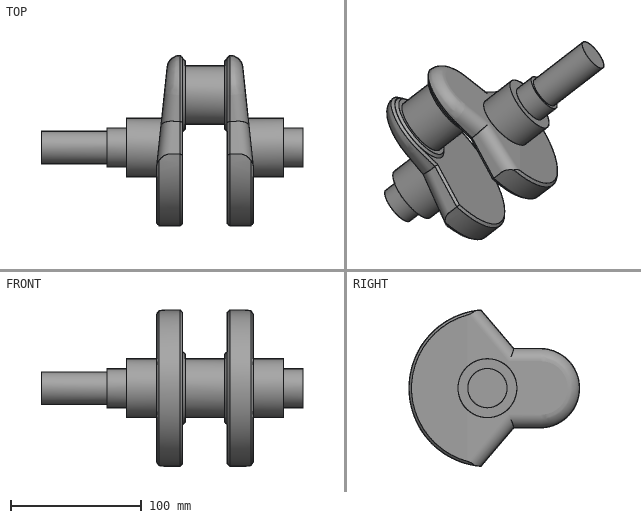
import cadquery as cq
import math

total_length = 200.0
drive_diameter = 25.0
drive_length = 50.0
end_diameter = 30.0
end_length = 15.0
journal_diameter = 45.0
pin_diameter = 45.0
pin_offset = 40.0

web_outer_x = 88.0
web_thickness = 20.0
web_inner_x = web_outer_x + web_thickness
pin_middle_x = 125.0
collar_radius = 28.0
collar_height = 2.0
collar_angle = 45.0
edge_chamfer = 2.0

counterweight_radius = 60.0
counterweight_tip_y = -5.0
arm_radius = 30.5
arm_root_y = 20.0
taper_start_y = -15.0
taper_angle = 6.0
arm_fillet = 10.0

journal_start = drive_length + end_length
journal_overlap_x = web_outer_x + web_thickness / 2
journal_end = 2 * pin_middle_x - journal_start


def cylinder(start_x, end_x, diameter, center_y=0.0):
    """Round bar along X between two stations."""
    plane = cq.Workplane("YZ", origin=(start_x, center_y, 0))
    return plane.circle(diameter / 2).extrude(end_x - start_x)


def web_blank():
    """Flat web: round arm end, straight neck and sector counterweight."""
    tip_z = math.sqrt(counterweight_radius**2 - counterweight_tip_y**2)
    return (
        cq.Workplane("YZ", origin=(web_outer_x, 0, 0))
        .moveTo(pin_offset, arm_radius)
        .lineTo(arm_root_y, arm_radius)
        .lineTo(counterweight_tip_y, tip_z)
        .threePointArc((-counterweight_radius, 0), (counterweight_tip_y, -tip_z))
        .lineTo(arm_root_y, -arm_radius)
        .lineTo(pin_offset, -arm_radius)
        .threePointArc((pin_offset + arm_radius, 0), (pin_offset, arm_radius))
        .close()
        .extrude(web_thickness)
    )


def taper_cutter():
    """Wedge that thins the outer face toward the arm end."""
    run = pin_offset + 2 * arm_radius - taper_start_y
    rise = run * math.tan(math.radians(taper_angle))
    return (
        cq.Workplane("XY", origin=(web_outer_x, taper_start_y, 0))
        .polyline([(0, 0), (rise, run), (0, run)])
        .close()
        .extrude(2 * counterweight_radius, both=True)
    )


def pin_collar():
    """Conical shoulder between the web and the crank pin."""
    base = cq.Workplane("YZ", origin=(web_inner_x, pin_offset, 0))
    return base.circle(collar_radius).extrude(collar_height, taper=collar_angle)


def is_arm_edge(edge):
    """True for the outer edges of the sloped face along the arm and flanks."""
    runs_across_web = abs(edge.tangentAt(0.5).x) > 0.9
    starts_on_taper = edge.Center().y > taper_start_y / 2
    on_inner_face = edge.BoundingBox().xmax > web_inner_x - 2 * edge_chamfer
    return starts_on_taper and not runs_across_web and not on_inner_face


def rim_cutter():
    """Half ring that bevels the outer rim of the counterweight."""
    small_radius = counterweight_radius - edge_chamfer
    profile = [
        (web_outer_x, small_radius),
        (web_outer_x, counterweight_radius + edge_chamfer),
        (web_outer_x + edge_chamfer, counterweight_radius + edge_chamfer),
        (web_outer_x + edge_chamfer, counterweight_radius),
    ]
    half_ring = cq.Workplane("XZ").polyline(profile).close()
    return half_ring.revolve(180, (0, 0), (1, 0))


def left_web():
    """Tapered web with rounded arm, bevelled rim and pin collar."""
    web = web_blank().faces(">X").chamfer(edge_chamfer)
    web = web.cut(taper_cutter())
    web = web.edges().filter(is_arm_edge).fillet(arm_fillet)
    return web.cut(rim_cutter()).union(pin_collar())


web = left_web()
result = (
    cylinder(0, drive_length, drive_diameter)
    .union(cylinder(drive_length, journal_start, end_diameter))
    .union(cylinder(journal_start, journal_overlap_x, journal_diameter))
    .union(web)
    .union(cylinder(web_inner_x, 2 * pin_middle_x - web_inner_x, pin_diameter, pin_offset))
    .union(web.mirror("YZ", (pin_middle_x, 0, 0)))
    .union(cylinder(2 * pin_middle_x - journal_overlap_x, journal_end, journal_diameter))
    .union(cylinder(journal_end, total_length, end_diameter))
)